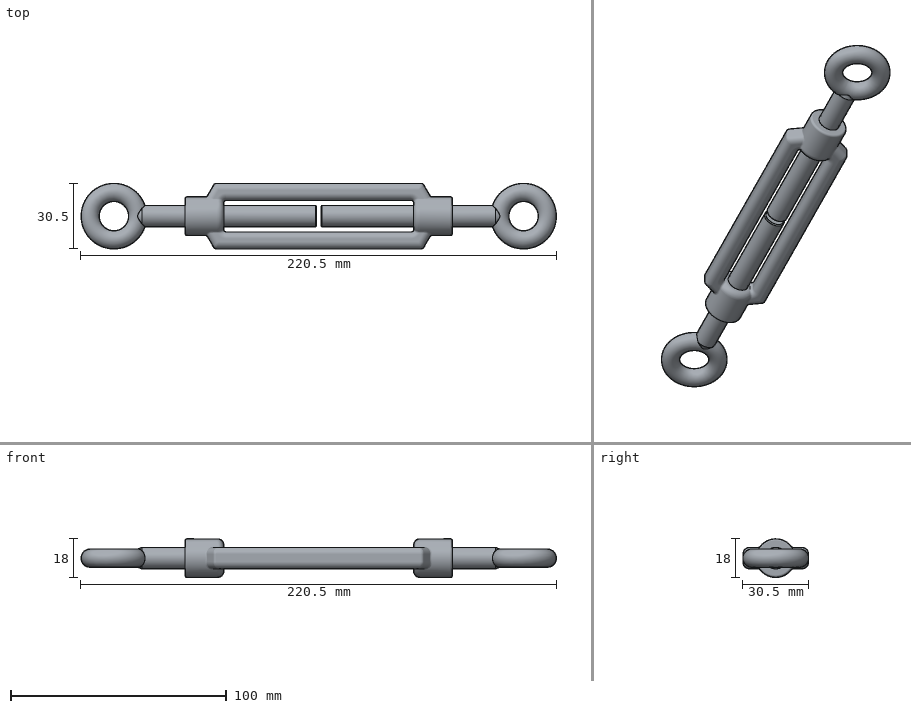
import cadquery as cq
import math


OVERALL_LENGTH = 220.5
EYE_OUTER_RADIUS = 15.25
EYE_WIRE_RADIUS = 4.25
EYE_RING_RADIUS = EYE_OUTER_RADIUS - EYE_WIRE_RADIUS
EYE_CENTER_X = OVERALL_LENGTH / 2 - EYE_OUTER_RADIUS
ROD_RADIUS = 5.0
ROD_GAP = 2.0
ROD_CHAMFER = 0.5
ROD_INNER_X = ROD_GAP / 2

RING_NEAR_X = EYE_CENTER_X - EYE_RING_RADIUS
TAPER_LENGTH = 2.0
TAPER_DROP = ROD_RADIUS - EYE_WIRE_RADIUS
TAPER_START_X = RING_NEAR_X - TAPER_LENGTH
TAPER_END_X = RING_NEAR_X + TAPER_LENGTH
TAPER_END_RADIUS = EYE_WIRE_RADIUS - TAPER_DROP

COLLAR_RADIUS = 9.0
COLLAR_INNER_X = 44.0
COLLAR_OUTER_X = 62.0
COLLAR_LENGTH = COLLAR_OUTER_X - COLLAR_INNER_X
COLLAR_OUTER_FILLET = 1.0
COLLAR_INNER_FILLET = 3.0

BAR_OUTER_Y = EYE_OUTER_RADIUS
BAR_WIDTH = 8.0
BAR_HEIGHT = 10.0
BAR_FILLET = 3.2
BAR_INNER_Y = BAR_OUTER_Y - BAR_WIDTH
LEG_SLANT = math.radians(30)
LEG_END_Y = 2.0
OUTER_CORNER_X = 48.3
OUTER_CORNER_FILLET = 1.5
INNER_CORNER_X = OUTER_CORNER_X - BAR_WIDTH * math.tan((math.pi / 2 - LEG_SLANT) / 2)
INNER_CORNER_FILLET = 1.5
LEG_ROOT_FILLET = 1.0

EDGE_CHECK_POSITIONS = (0.25, 0.5, 0.75)
EDGE_TOLERANCE = 0.001


def leg_end_x(corner_x, corner_y):
    """X where a slanted leg line that starts at a bar corner reaches the leg end."""
    return corner_x + (corner_y - LEG_END_Y) * math.tan(LEG_SLANT)


def make_eye_bolt():
    """Eye and rod on the +X side."""
    profile = [
        (ROD_INNER_X, 0),
        (ROD_INNER_X, ROD_RADIUS - ROD_CHAMFER),
        (ROD_INNER_X + ROD_CHAMFER, ROD_RADIUS),
        (TAPER_START_X, ROD_RADIUS),
        (TAPER_END_X, TAPER_END_RADIUS),
        (TAPER_END_X, 0),
    ]
    rod = cq.Workplane("XY").polyline(profile).close().revolve(360, (0, 0, 0), (1, 0, 0))
    eye = cq.Solid.makeTorus(EYE_RING_RADIUS, EYE_WIRE_RADIUS, cq.Vector(EYE_CENTER_X, 0, 0))
    return rod.union(cq.Workplane(eye))


def make_collar():
    """Round collar on the +X side."""
    return (
        cq.Workplane("YZ", origin=(COLLAR_INNER_X, 0, 0))
        .circle(COLLAR_RADIUS)
        .extrude(COLLAR_LENGTH)
        .faces("<X")
        .edges()
        .fillet(COLLAR_INNER_FILLET)
        .faces(">X")
        .edges()
        .fillet(COLLAR_OUTER_FILLET)
    )


def make_half_bar():
    """Half of the +Y bar, from the YZ plane to the end of its leg on the +X side."""
    outline = [
        (0, BAR_INNER_Y),
        (INNER_CORNER_X, BAR_INNER_Y),
        (leg_end_x(INNER_CORNER_X, BAR_INNER_Y), LEG_END_Y),
        (leg_end_x(OUTER_CORNER_X, BAR_OUTER_Y), LEG_END_Y),
        (OUTER_CORNER_X, BAR_OUTER_Y),
        (0, BAR_OUTER_Y),
    ]
    inner_corner = cq.selectors.NearestToPointSelector((INNER_CORNER_X, BAR_INNER_Y, 0))
    outer_corner = cq.selectors.NearestToPointSelector((OUTER_CORNER_X, BAR_OUTER_Y, 0))
    return (
        cq.Workplane("XY", origin=(0, 0, -BAR_HEIGHT / 2))
        .polyline(outline)
        .close()
        .extrude(BAR_HEIGHT)
        .edges(inner_corner)
        .fillet(INNER_CORNER_FILLET)
        .faces("<Z or >Z")
        .edges("not (<X or <Y)")
        .fillet(BAR_FILLET)
        .edges(outer_corner)
        .fillet(OUTER_CORNER_FILLET)
    )


def lies_on(edge, shell):
    """True when points along the edge all sit on the given shell."""
    points = [cq.Vertex.makeVertex(*edge.positionAt(t).toTuple()) for t in EDGE_CHECK_POSITIONS]
    return all(point.distance(shell) < EDGE_TOLERANCE for point in points)


def make_quarter_body():
    """Collar and +Y half bar, with a fillet all round the root of the leg."""
    collar = make_collar()
    half_bar = make_half_bar()
    joined = collar.union(half_bar)
    collar_skin = collar.val().Shells()[0]
    bar_skin = half_bar.val().Shells()[0]
    root_edges = [
        edge for edge in joined.edges().vals() if lies_on(edge, collar_skin) and lies_on(edge, bar_skin)
    ]
    return joined.newObject(root_edges).fillet(LEG_ROOT_FILLET)


quarter_body = make_quarter_body()
end_assembly = quarter_body.union(quarter_body.mirror("XZ")).union(make_eye_bolt())
result = end_assembly.union(end_assembly.mirror("YZ"))